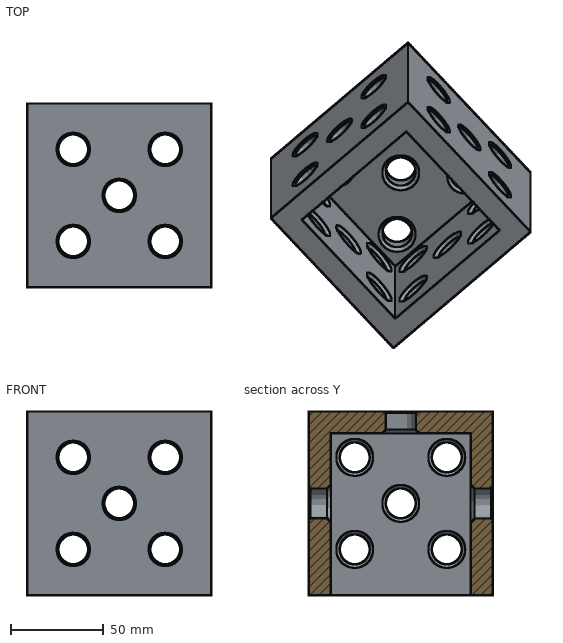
import cadquery as cq

side = 100.0
wall = 12.0

hole_diameter = 16.1
outer_chamfer = 1.0
inner_chamfer = 2.0
hole_spacing = side / 2

half = side / 2
inner_side = side - 2 * wall
offset = hole_spacing / 2
hole_centres = [(0, 0)] + [(u, v) for u in (-offset, offset) for v in (-offset, offset)]

x_axis = (1, 0, 0)
y_axis = (0, 1, 0)
wall_turns = [(x_axis, 0), (x_axis, 90), (x_axis, -90), (y_axis, 90), (y_axis, -90)]


def hollow_cube():
    """Cube with four side walls and a top wall, all of equal thickness."""
    cube = cq.Workplane("XY").box(side, side, side)
    cavity = cq.Workplane("XY").workplane(offset=-half).rect(inner_side, inner_side).extrude(side - wall)
    return cube.cut(cavity)


def wall_drill():
    """Cutter along Z for a hole in the top wall, with 45 degree chamfers at both wall faces."""
    hole_radius = hole_diameter / 2
    inner_face = half - wall
    half_section = [
        (0, inner_face),
        (hole_radius + inner_chamfer, inner_face),
        (hole_radius, inner_face + inner_chamfer),
        (hole_radius, half - outer_chamfer),
        (hole_radius + outer_chamfer, half),
        (0, half),
    ]
    return cq.Workplane("XZ").polyline(half_section).close().revolve(360, (0, 0, 0), (0, 1, 0))


drill = wall_drill()
result = hollow_cube()
for axis, angle in wall_turns:
    for u, v in hole_centres:
        hole = drill.translate((u, v, 0)).rotate((0, 0, 0), axis, angle)
        result = result.cut(hole)